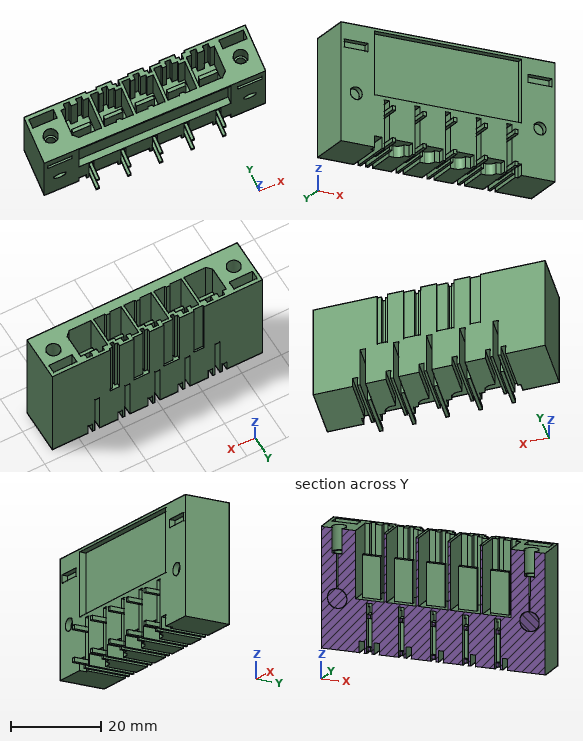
import cadquery as cq

LENGTH = 53.35
DEPTH = 11.4
HEIGHT = 28.3
PITCH = 7.65
POLES = 5
POLE_X = [(i - (POLES - 1) / 2) * PITCH for i in range(POLES)]
FLANGE_X = POLE_X[-1] + PITCH

CELL_FLOOR = 12.5
CELL_FRONT = 2.4
CELL_HALF = 3.45
END_CELL_OUTER = 3.2
END_CELL_CHAMFER = 1.1
KEYWAY_BACK = DEPTH - 0.7
RIB_BACK = DEPTH - 1.75
CORNER_BACK = DEPTH - 1.1
END_CORNER_BACK = DEPTH - 1.6
STEP_BACK = DEPTH - 2.4
CENTRE_KEY_HALF = 0.65
CORNER_X = 1.7
STEP_X = 2.0
END_KEY_INNER = 0.8
END_KEY_OUTER = 2.2
BUMP_BASE_HALF = 0.7
BUMP_TOP_HALF = 0.5
BUMP_HEIGHT = 0.4

GROOVE_SHALLOW = 0.45
GROOVE_MIDDLE = 0.9
GROOVE_DEEP = 1.6
GROOVE_DEEP_X = 2.7
GROOVE_END_X = 5.9
LAST_GROOVE_END_X = 4.3

WINDOW_HALF = 18.3
WINDOW_BOTTOM = CELL_FLOOR
WINDOW_TOP = 27.65
WINDOW_DEPTH = 1.6
RELIEF_HEIGHT = 2.65
RELIEF_DEPTH = 1.7
POST_HALF = 1.25
CHANNEL_WIDTH = 1.1
SCOOP_START_X = 3.45
SCOOP_RADIUS = 1.7
DEEP_RELIEF_DEPTH = RELIEF_DEPTH + SCOOP_RADIUS
PIN_SLOT_WIDTH = 1.25
PIN_SLOT_TOP = 11.7

PIN_THICKNESS = 0.8
PIN_Y = 5.7
BLADE_WIDTH = 4.4
BLADE_TOP = 22.4
BLADE_LEFT_BOTTOM = 10.5
BLADE_RIGHT_BOTTOM = 6.65
STEM_FRONT = 4.55
LEG_REACH = 3.45
LEG_HEIGHT = 1.0
LEG_BOTTOM = 0.55
LEG_SPACING = PITCH

FLANGE_SLOT_WIDTH = 5.85
FRONT_SLOT_BOTTOM = 22.45
FRONT_SLOT_HEIGHT = 1.9
FRONT_OPENING_DEPTH = 1.45
FRONT_HOLE_DIAMETER = 3.0
INSERT_Z = 12.0
INSERT_DIAMETER = 4.5
TOP_SLOT_BACK = DEPTH - 0.9
TOP_SLOT_DEPTH = 2.15
TOP_HOLE_Y = 5.2
TOP_HOLE_DIAMETER = 3.3
TOP_HOLE_INNER_DIAMETER = 2.4


def box(x0, x1, y0, y1, z0, z1):
    """Axis-aligned block between two opposite corners."""
    return cq.Workplane("XY").box(x1 - x0, y1 - y0, z1 - z0, centered=False).translate((x0, y0, z0))


def prism(points, z0, z1):
    """Upright prism on an XY outline."""
    return cq.Workplane("XY").workplane(offset=z0).polyline(points).close().extrude(z1 - z0)


def upright_cylinder(x, y, diameter, z0, z1):
    return cq.Workplane("XY").workplane(offset=z0).center(x, y).circle(diameter / 2).extrude(z1 - z0)


def cross_cylinder(x, z, diameter, y0, y1):
    """Cylinder along Y between y0 and y1."""
    disc = cq.Workplane("XZ").center(x, z).circle(diameter / 2)
    return disc.extrude(y0 - y1).translate((0, y0, 0))


def middle_cell():
    """Cell with one central keyway, a stepped back corner and a bump on the front wall."""
    bump_top = CELL_FRONT + BUMP_HEIGHT
    outline = [
        (-CELL_HALF, CELL_FRONT),
        (-BUMP_BASE_HALF, CELL_FRONT),
        (-BUMP_TOP_HALF, bump_top),
        (BUMP_TOP_HALF, bump_top),
        (BUMP_BASE_HALF, CELL_FRONT),
        (CELL_HALF, CELL_FRONT),
        (CELL_HALF, STEP_BACK),
        (STEP_X, STEP_BACK),
        (STEP_X, RIB_BACK),
        (CENTRE_KEY_HALF, RIB_BACK),
        (CENTRE_KEY_HALF, KEYWAY_BACK),
        (-CENTRE_KEY_HALF, KEYWAY_BACK),
        (-CENTRE_KEY_HALF, RIB_BACK),
        (-CORNER_X, RIB_BACK),
        (-CORNER_X, CORNER_BACK),
        (-CELL_HALF, CORNER_BACK),
    ]
    return prism(outline, CELL_FLOOR, HEIGHT)


def left_end_cell():
    """End cell with two keyways and a chamfered outer front corner."""
    outline = [
        (-END_CELL_OUTER, CELL_FRONT + END_CELL_CHAMFER),
        (-END_CELL_OUTER + END_CELL_CHAMFER, CELL_FRONT),
        (CELL_HALF, CELL_FRONT),
        (CELL_HALF, END_CORNER_BACK),
        (END_KEY_OUTER, END_CORNER_BACK),
        (END_KEY_OUTER, KEYWAY_BACK),
        (END_KEY_INNER, KEYWAY_BACK),
        (END_KEY_INNER, RIB_BACK),
        (-END_KEY_INNER, RIB_BACK),
        (-END_KEY_INNER, KEYWAY_BACK),
        (-END_KEY_OUTER, KEYWAY_BACK),
        (-END_KEY_OUTER, RIB_BACK),
        (-END_CELL_OUTER, RIB_BACK),
    ]
    return prism(outline, CELL_FLOOR, HEIGHT)


def cut_cells(body):
    body = body.cut(left_end_cell().translate((POLE_X[0], 0, 0)))
    body = body.cut(left_end_cell().mirror("YZ").translate((POLE_X[-1], 0, 0)))
    for x in POLE_X[1:-1]:
        body = body.cut(middle_cell().translate((x, 0, 0)))
    return body


def back_groove(x0, x1, depth):
    return box(x0, x1, DEPTH - depth, DEPTH, CELL_FLOOR, HEIGHT)


def cut_back_grooves(body):
    """Stepped coding grooves behind the walls between neighbouring cells."""
    for x in POLE_X[:-1]:
        end = LAST_GROOVE_END_X if x == POLE_X[-2] else GROOVE_END_X
        body = body.cut(back_groove(x + CELL_HALF, x + end, GROOVE_SHALLOW))
    for x in POLE_X[1:-1]:
        body = body.cut(back_groove(x + STEP_X, x + GROOVE_DEEP_X, GROOVE_MIDDLE))
        body = body.cut(back_groove(x + GROOVE_DEEP_X, x + CELL_HALF, GROOVE_DEEP))
    return body


def underside_notch(x0, x1, depth):
    """Notch from the front face, open at the underside."""
    return box(x0, x1, 0, depth, 0, RELIEF_HEIGHT)


def underside_scoop(x):
    """Quarter-round hollow joining the deep relief to the shallow one, right of the pole at x."""
    scoop = upright_cylinder(x + SCOOP_START_X, RELIEF_DEPTH, 2 * SCOOP_RADIUS, 0, RELIEF_HEIGHT)
    right_end = x + SCOOP_START_X + SCOOP_RADIUS
    return scoop.intersect(underside_notch(x + SCOOP_START_X, right_end, DEEP_RELIEF_DEPTH))


def cut_underside(body):
    """Relief beside the posts at each pin slot, with channels through to the back."""
    first_post = POLE_X[0] - POST_HALF
    last_post = POLE_X[-1] + POST_HALF
    body = body.cut(underside_notch(-WINDOW_HALF, first_post, RELIEF_DEPTH))
    body = body.cut(underside_notch(last_post, WINDOW_HALF, RELIEF_DEPTH))
    body = body.cut(underside_notch(first_post - CHANNEL_WIDTH, first_post, DEPTH))
    for x in POLE_X:
        start = x + POST_HALF
        body = body.cut(underside_notch(start, start + CHANNEL_WIDTH, DEPTH))
    for x in POLE_X[:-1]:
        start = x + POST_HALF
        body = body.cut(underside_notch(start, x + PITCH - POST_HALF, RELIEF_DEPTH))
        body = body.cut(underside_notch(start, x + SCOOP_START_X, DEEP_RELIEF_DEPTH))
        body = body.cut(underside_scoop(x))
    return body


def cut_pin_slots(body):
    half = PIN_SLOT_WIDTH / 2
    for x in POLE_X:
        body = body.cut(box(x - half, x + half, 0, DEPTH, 0, PIN_SLOT_TOP))
    return body


def cut_flange(body, x):
    """Front slot, front hole, top slot and stepped top hole of one flange."""
    left = x - FLANGE_SLOT_WIDTH / 2
    right = x + FLANGE_SLOT_WIDTH / 2
    front_slot_top = FRONT_SLOT_BOTTOM + FRONT_SLOT_HEIGHT
    body = body.cut(box(left, right, 0, FRONT_OPENING_DEPTH, FRONT_SLOT_BOTTOM, front_slot_top))
    body = body.cut(cross_cylinder(x, INSERT_Z, FRONT_HOLE_DIAMETER, 0, FRONT_OPENING_DEPTH))
    body = body.cut(box(left, right, TOP_SLOT_BACK - TOP_SLOT_DEPTH, TOP_SLOT_BACK, INSERT_Z, HEIGHT))
    body = body.cut(upright_cylinder(x, TOP_HOLE_Y, TOP_HOLE_DIAMETER, FRONT_SLOT_BOTTOM, HEIGHT))
    return body.cut(upright_cylinder(x, TOP_HOLE_Y, TOP_HOLE_INNER_DIAMETER, INSERT_Z, FRONT_SLOT_BOTTOM))


def make_pin(x):
    """Blade with a stepped lower edge, standing on an upright stem that carries two solder legs."""
    half = PIN_THICKNESS / 2
    blade_half = BLADE_WIDTH / 2
    blade_front = PIN_Y - half
    blade_back = PIN_Y + half
    stem_top = LEG_BOTTOM + LEG_SPACING + LEG_HEIGHT
    pin = box(-blade_half, blade_half, blade_front, blade_back, BLADE_LEFT_BOTTOM, BLADE_TOP)
    pin = pin.union(box(-half, blade_half, blade_front, blade_back, BLADE_RIGHT_BOTTOM, BLADE_LEFT_BOTTOM))
    pin = pin.union(box(-half, half, STEM_FRONT, blade_back, LEG_BOTTOM, stem_top))
    for z in (LEG_BOTTOM, LEG_BOTTOM + LEG_SPACING):
        pin = pin.union(box(-half, half, -LEG_REACH, STEM_FRONT, z, z + LEG_HEIGHT))
    return pin.translate((x, 0, 0))


def make_insert(x):
    """Solid round insert running from the front hole to the back wall of the top slot."""
    return cross_cylinder(x, INSERT_Z, INSERT_DIAMETER, FRONT_OPENING_DEPTH, TOP_SLOT_BACK)


def make_housing(fitted_parts):
    """Moulded block with a matching recess for every pin and insert."""
    body = box(-LENGTH / 2, LENGTH / 2, 0, DEPTH, 0, HEIGHT)
    body = body.cut(box(-WINDOW_HALF, WINDOW_HALF, 0, WINDOW_DEPTH, WINDOW_BOTTOM, WINDOW_TOP))
    body = cut_cells(body)
    body = cut_back_grooves(body)
    body = cut_underside(body)
    body = cut_pin_slots(body)
    for x in (-FLANGE_X, FLANGE_X):
        body = cut_flange(body, x)
    for part in fitted_parts:
        body = body.cut(part)
    return body


pins = [make_pin(x) for x in POLE_X]
inserts = [make_insert(x) for x in (-FLANGE_X, FLANGE_X)]
housing = make_housing(pins + inserts)

result = cq.Compound.makeCompound([housing.solids().val(), *[part.solids().val() for part in pins + inserts]])